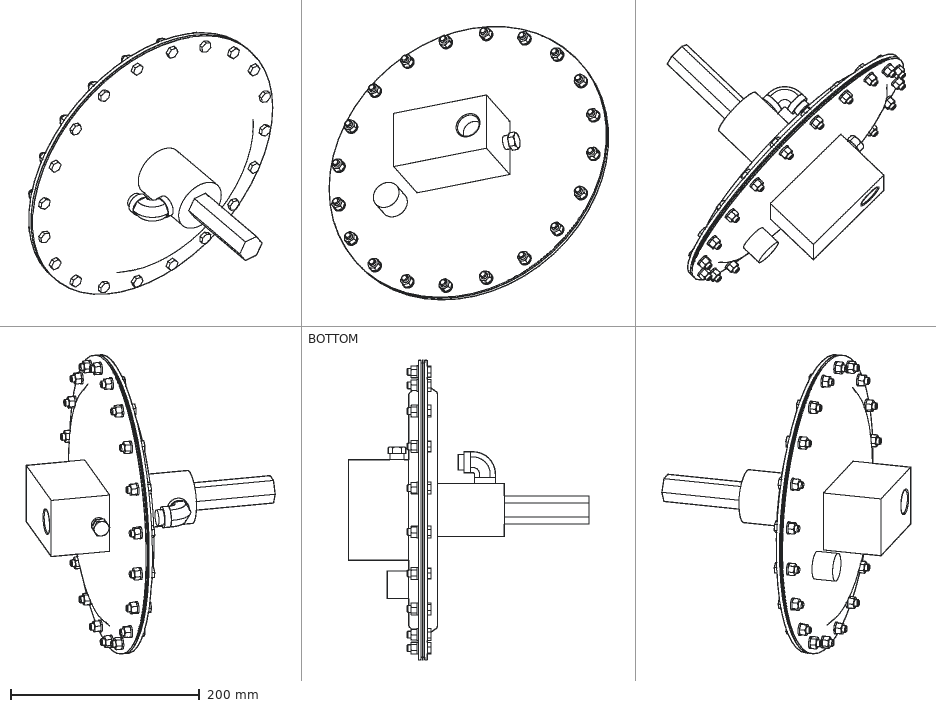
import cadquery as cq
import math


RIM_RADIUS = 158.8
GASKET_RADIUS = 156.0
GASKET_FACE = 2.0
FLANGE_FACE = 4.8
MEMBRANE_THICKNESS = 0.3
RIM_FILLET = 1.0

BACK_DISH_FACE = 15.0
BACK_ROOT_RADIUS = 133.0
BACK_TOP_RADIUS = 123.2
FRONT_DISH_FACE = 15.5
FRONT_ROOT_RADIUS = 132.0
FRONT_TOP_RADIUS = 124.5
DISH_ROOT_FILLET = 7.3
DISH_TOP_FILLET = 3.2

BOLT_COUNT = 20
BOLT_CIRCLE_RADIUS = 148.0
BOLT_STEP = 360 / BOLT_COUNT
BOLT_HEX_FLATS = 11.0
HEX_CORNER_RATIO = 2 / math.sqrt(3)
WASHER_DIAMETER = BOLT_HEX_FLATS * HEX_CORNER_RATIO
WASHER_THICKNESS = 1.5
NUT_HEIGHT = 6.5
NUT_CHAMFER = 0.5
STUD_DIAMETER = 7.3
STUD_LENGTH = 4.0
STUD_CHAMFER = 1.0
HEAD_HEIGHT = 4.0

BOX_FACE = 78.7
BOX_WIDTH = 106.5
BOX_HEIGHT = 63.8

PORT_Y = -32.0
PORT_MOUTH_RADIUS = 13.5
PORT_THROAT_RADIUS = 12.5
PORT_CHAMFER_DEPTH = 1.0
PORT_FLOOR_RADIUS = 11.5
PORT_DEPTH = 14.3
DRILL_TIP_ANGLE = 118.0

PLUG_X = -27.3
PLUG_SHANK_DIAMETER = 15.0
PLUG_SHANK_LENGTH = 6.5
PLUG_HEX_FLATS = 16.2
PLUG_HEX_LENGTH = 7.3
PLUG_CHAMFER = 1.3

VENT_DIAMETER = 29.5
VENT_FACE = 37.8
VENT_Y = 79.0
VENT_Z = -40.3

BARREL_RADIUS = 28.3
BARREL_END = 86.5
STEM_FLATS = 25.7
STEM_END = 176.0

ELBOW_X = 65.7
ELBOW_FLATS = 19.5
ELBOW_COLLAR_DIAMETER = ELBOW_FLATS * HEX_CORNER_RATIO
ELBOW_COLLAR_END_Y = -34.5
ELBOW_BEND_START_Y = -37.8
ELBOW_BEND_RADIUS = 12.7
ELBOW_RING_X = 50.5
ELBOW_RING_LENGTH = 7.0
ELBOW_TUBE_DIAMETER = 16.8
ELBOW_TUBE_LENGTH = 6.0


def rod_along_x(radius, start, end, y=0.0, z=0.0):
    """Round rod parallel to X between two X positions."""
    return cq.Workplane("YZ", origin=(start, y, z)).circle(radius).extrude(end - start)


def hex_with_chamfered_end(flats, height, chamfer):
    """Hexagonal prism along +Z, corners toward +X and -X, its far corners cut by a cone."""
    corners = flats * HEX_CORNER_RATIO
    prism = cq.Workplane("XY").polygon(6, corners).extrude(height)
    cone_blank = cq.Workplane("XY").circle(corners / 2).extrude(height)
    return prism.intersect(cone_blank.faces(">Z").chamfer(chamfer))


def shell(dish_face, root_radius, top_radius):
    """Solid dished shell rising toward +X from the membrane, with its flange and gasket."""
    outline = [
        (0, 0),
        (0, GASKET_RADIUS),
        (GASKET_FACE, GASKET_RADIUS),
        (GASKET_FACE, RIM_RADIUS),
        (FLANGE_FACE, RIM_RADIUS),
        (FLANGE_FACE, root_radius),
        (dish_face, top_radius),
        (dish_face, 0),
    ]
    body = cq.Workplane("XY").polyline(outline).close().revolve(360, (0, 0, 0), (1, 0, 0))
    body = body.edges(cq.selectors.RadiusNthSelector(1)).fillet(DISH_ROOT_FILLET)
    body = body.faces(">X").edges().fillet(DISH_TOP_FILLET)
    return body.edges(cq.selectors.RadiusNthSelector(-1)).fillet(RIM_FILLET)


def place_on_bolt_circle(fastener):
    """Copies of a fastener built along +Z, turned to point along +X and spread around the rim."""
    first = fastener.rotate((0, 0, 0), (0, 1, 0), 90)
    first = first.translate((FLANGE_FACE, 0, BOLT_CIRCLE_RADIUS))
    return [
        first.rotate((0, 0, 0), (1, 0, 0), (index + 0.5) * BOLT_STEP)
        for index in range(BOLT_COUNT)
    ]


def nut_stack():
    """Washer, nut and chamfered stud end, standing on the flange."""
    nut_top = WASHER_THICKNESS + NUT_HEIGHT
    washer = cq.Workplane("XY").circle(WASHER_DIAMETER / 2).extrude(WASHER_THICKNESS)
    nut = hex_with_chamfered_end(BOLT_HEX_FLATS, NUT_HEIGHT, NUT_CHAMFER)
    stud = cq.Workplane("XY").circle(STUD_DIAMETER / 2).extrude(nut_top + STUD_LENGTH)
    stud = stud.faces(">Z").chamfer(STUD_CHAMFER)
    return washer.union(nut.translate((0, 0, WASHER_THICKNESS))).union(stud)


def bolt_head():
    """Plain hexagonal bolt head with flats facing +X and -X."""
    corners = BOLT_HEX_FLATS * HEX_CORNER_RATIO
    head = cq.Workplane("XY").polygon(6, corners).extrude(HEAD_HEIGHT)
    return head.rotate((0, 0, 0), (0, 0, 1), 30)


def port_cutter():
    """Chamfered, tapered hole with a drill-point floor, entering the box from its -X face."""
    tip_depth = PORT_FLOOR_RADIUS / math.tan(math.radians(DRILL_TIP_ANGLE / 2))
    outline = [
        (0, 0),
        (0, PORT_MOUTH_RADIUS),
        (PORT_CHAMFER_DEPTH, PORT_THROAT_RADIUS),
        (PORT_DEPTH, PORT_FLOOR_RADIUS),
        (PORT_DEPTH + tip_depth, 0),
    ]
    cutter = cq.Workplane("XY").polyline(outline).close().revolve(360, (0, 0, 0), (1, 0, 0))
    return cutter.translate((-BOX_FACE, PORT_Y, 0))


def switch_box():
    """Box with its port and side plug, reaching from the back dish to its -X face."""
    box_length = BOX_FACE - BACK_DISH_FACE
    box = cq.Workplane("XY").box(box_length, BOX_WIDTH, BOX_HEIGHT)
    box = box.translate((-(BOX_FACE + BACK_DISH_FACE) / 2, 0, 0))

    shank = cq.Workplane("XY").circle(PLUG_SHANK_DIAMETER / 2).extrude(PLUG_SHANK_LENGTH)
    head = hex_with_chamfered_end(PLUG_HEX_FLATS, PLUG_HEX_LENGTH, PLUG_CHAMFER)
    plug = shank.union(head.translate((0, 0, PLUG_SHANK_LENGTH)))
    plug = plug.rotate((0, 0, 0), (1, 0, 0), 90).translate((PLUG_X, -BOX_WIDTH / 2, 0))
    return box.union(plug).cut(port_cutter())


def make_elbow():
    """Collar that touches the barrel, hexagonal 90 degree bend toward -X, end ring and tube stub."""
    collar = (
        cq.Workplane("XZ", origin=(ELBOW_X, -BARREL_RADIUS, 0))
        .circle(ELBOW_COLLAR_DIAMETER / 2)
        .extrude(-ELBOW_COLLAR_END_Y - BARREL_RADIUS)
    )
    outlet_y = ELBOW_BEND_START_Y - ELBOW_BEND_RADIUS
    bend_end_x = ELBOW_X - ELBOW_BEND_RADIUS
    bend_middle = (
        bend_end_x + ELBOW_BEND_RADIUS * math.cos(math.pi / 4),
        ELBOW_BEND_START_Y - ELBOW_BEND_RADIUS * math.sin(math.pi / 4),
    )
    path = (
        cq.Workplane("XY")
        .moveTo(ELBOW_X, ELBOW_COLLAR_END_Y)
        .lineTo(ELBOW_X, ELBOW_BEND_START_Y)
        .threePointArc(bend_middle, (bend_end_x, outlet_y))
        .lineTo(ELBOW_RING_X, outlet_y)
    )
    bend = (
        cq.Workplane("XZ", origin=(ELBOW_X, ELBOW_COLLAR_END_Y, 0))
        .polygon(6, ELBOW_COLLAR_DIAMETER)
        .sweep(path)
    )
    ring_end_x = ELBOW_RING_X - ELBOW_RING_LENGTH
    ring = rod_along_x(ELBOW_COLLAR_DIAMETER / 2, ring_end_x, ELBOW_RING_X, outlet_y)
    tube = rod_along_x(ELBOW_TUBE_DIAMETER / 2, ring_end_x - ELBOW_TUBE_LENGTH, ring_end_x, outlet_y)
    return collar.union(bend).union(ring).union(tube)


def back_half():
    """Everything on the -X side of the membrane: shell, nuts, vent and switch box."""
    half = shell(BACK_DISH_FACE, BACK_ROOT_RADIUS, BACK_TOP_RADIUS)
    for nut in place_on_bolt_circle(nut_stack()):
        half = half.union(nut)
    half = half.mirror("YZ")
    vent = rod_along_x(VENT_DIAMETER / 2, -VENT_FACE, -BACK_DISH_FACE, VENT_Y, VENT_Z)
    return half.union(vent).union(switch_box())


def front_half():
    """Everything on the +X side of the membrane: shell, bolt heads, barrel and hexagonal stem."""
    half = shell(FRONT_DISH_FACE, FRONT_ROOT_RADIUS, FRONT_TOP_RADIUS)
    for head in place_on_bolt_circle(bolt_head()):
        half = half.union(head)
    barrel = rod_along_x(BARREL_RADIUS, FRONT_DISH_FACE, BARREL_END)
    stem = (
        cq.Workplane("YZ", origin=(BARREL_END, 0, 0))
        .polygon(6, STEM_FLATS * HEX_CORNER_RATIO)
        .extrude(STEM_END - BARREL_END)
    )
    return half.union(barrel).union(stem)


def make_housing():
    """Both halves joined through the membrane, whose edge stands out between the gaskets."""
    membrane = rod_along_x(RIM_RADIUS, -MEMBRANE_THICKNESS / 2, MEMBRANE_THICKNESS / 2)
    return back_half().union(membrane).union(front_half())


housing = make_housing()
elbow = make_elbow()
result = cq.Compound.makeCompound([housing.val(), elbow.val()])